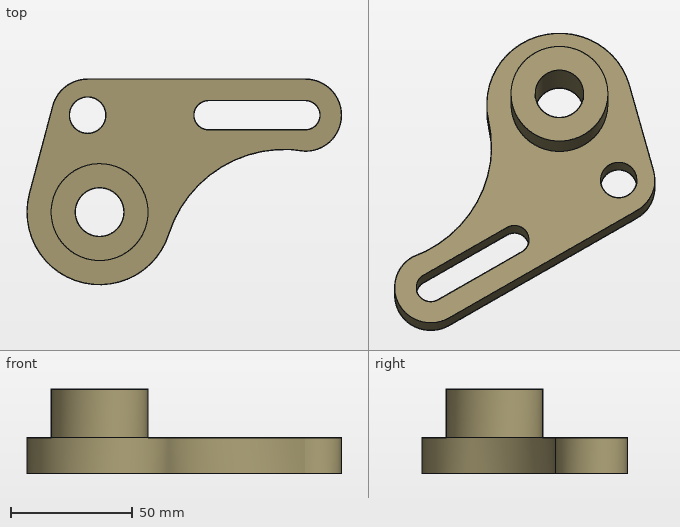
import cadquery as cq
import math

plate_thickness = 15.0
total_height = 35.0
hub_radius = 30.0
corner_radius = 15.0
neck_radius = 50.0

boss_diameter = 40.0
bore_diameter = 20.0
pin_hole_diameter = 15.0
slot_width = 12.0

arm_y = 40.0
pin_x = -5.0
slot_start_x = 45.0
arm_end_x = 85.0


def polar(center, radius, angle):
    """Point on a circle, with the angle in radians."""
    return (center[0] + radius * math.cos(angle), center[1] + radius * math.sin(angle))


def neck_center(end_point):
    """Center of the concave arc that touches the hub and passes through end_point."""
    hub_distance = hub_radius + neck_radius
    end_distance = math.hypot(*end_point)
    end_angle = math.atan2(end_point[1], end_point[0])
    cosine = (hub_distance**2 + end_distance**2 - neck_radius**2) / (2 * hub_distance * end_distance)
    return polar((0, 0), hub_distance, end_angle - math.acos(cosine))


def make_plate():
    hub = (0, 0)
    pin = (pin_x, arm_y)
    arm_top = arm_y + corner_radius

    pin_angle = math.atan2(arm_y, pin_x)
    edge_normal = pin_angle + math.acos((hub_radius - corner_radius) / math.hypot(*pin))
    hub_left = polar(hub, hub_radius, edge_normal)
    corner_left = polar(pin, corner_radius, edge_normal)
    corner_mid = polar(pin, corner_radius, (edge_normal + math.pi / 2) / 2)

    arm_bottom = (arm_end_x, arm_y - corner_radius)
    neck = neck_center(arm_bottom)
    neck_angle = math.atan2(neck[1], neck[0])
    hub_right = polar(hub, hub_radius, neck_angle)
    neck_start = neck_angle + math.pi
    neck_end = math.atan2(arm_bottom[1] - neck[1], arm_bottom[0] - neck[0])
    neck_mid = polar(neck, neck_radius, (neck_start + neck_end) / 2)

    return (
        cq.Workplane("XY")
        .moveTo(*hub_left)
        .lineTo(*corner_left)
        .threePointArc(corner_mid, (pin_x, arm_top))
        .lineTo(arm_end_x, arm_top)
        .threePointArc((arm_end_x + corner_radius, arm_y), arm_bottom)
        .threePointArc(neck_mid, hub_right)
        .threePointArc((0, -hub_radius), hub_left)
        .close()
        .extrude(plate_thickness)
    )


def make_cylinder(x, y, diameter):
    return cq.Workplane("XY").center(x, y).circle(diameter / 2).extrude(total_height)


def make_slot():
    slot_length = arm_end_x - slot_start_x + slot_width
    slot_center_x = (slot_start_x + arm_end_x) / 2
    return (
        cq.Workplane("XY")
        .center(slot_center_x, arm_y)
        .slot2D(slot_length, slot_width)
        .extrude(plate_thickness)
    )


result = (
    make_plate()
    .union(make_cylinder(0, 0, boss_diameter))
    .cut(make_cylinder(0, 0, bore_diameter))
    .cut(make_cylinder(pin_x, arm_y, pin_hole_diameter))
    .cut(make_slot())
)